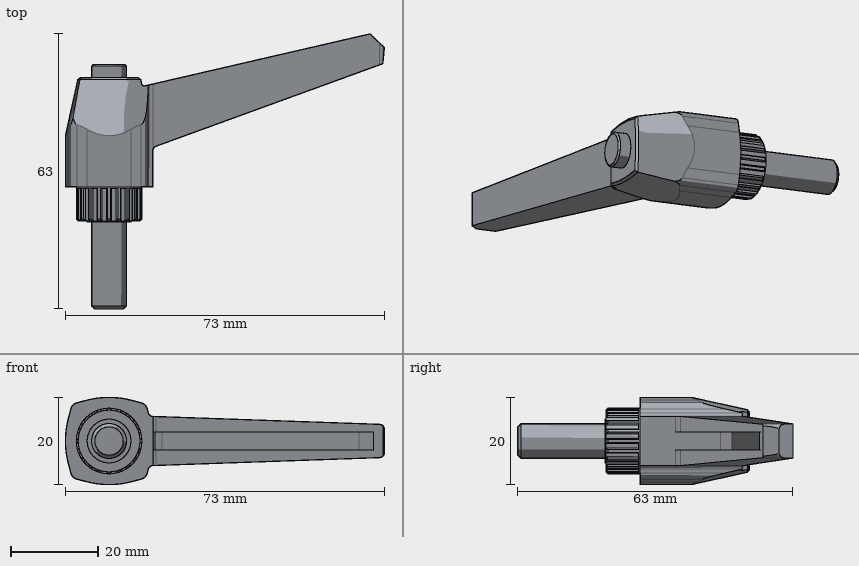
import cadquery as cq
import math


HUB_HALF_WIDTH = 10.0
HUB_HEIGHT = 25.0
HUB_SIDE_RADIUS = 20.0
HUB_ARC_HALF_LENGTH = 5.0
HUB_CORNER_RADIUS = 2.0
HUB_RIM_CHAMFER = 0.5
TAPER_START = 11.7
TAPER_ANGLE = 12.2
FACET_RADIUS = 40.0
FACET_LENGTH = 80.0
NOTCH_X = 7.6
NOTCH_FILLET = 0.6

ARM_TOP_ANGLE = 13.0
ARM_BOTTOM_ANGLE = 20.0
ARM_SIDE_ANGLE = 2.0
ARM_ROOT_HALF_THICKNESS = 5.65
ARM_ROOT_FILLET = 1.2
ARM_PEAK = (59.7, 35.0)
ARM_NOSE = (63.0, 31.8)
ARM_HEEL = (62.65, 28.15)
TIP_CORNER_RADIUS = 1.2

SLOT_WIDTH = 4.2
SLOT_END_X = 60.5
SLOT_FILLET = 2.75
SLOT_ROOF = 3.0

INSERT_CORE_RADIUS = 7.05
INSERT_FLANGE_THICKNESS = 0.4
INSERT_LENGTH = 7.8
RIDGE_COUNT = 20
RIDGE_RADIUS = 7.5
RIDGE_TIP_WIDTH = 0.65
RIDGE_BASE_WIDTH = 1.15

COLLAR_RADIUS = 5.0
STUD_RADIUS = 4.0
STUD_LENGTH = 20.0
STUD_CHAMFER = 0.75
COLLAR_BOTTOM = -8.0
PIN_TOP = 28.0
PIN_CHAMFER = 0.4

POSITION_TOLERANCE = 1e-6

side_angle = math.asin(HUB_ARC_HALF_LENGTH / HUB_SIDE_RADIUS)
arc_end_offset = HUB_HALF_WIDTH - HUB_SIDE_RADIUS * (1 - math.cos(side_angle))
side_slope = math.tan(side_angle)
sharp_corner = (arc_end_offset + side_slope * HUB_ARC_HALF_LENGTH) / (1 + side_slope)


def rise(run, angle):
    """Height gained over a run along a line at the given angle in degrees."""
    return run * math.tan(math.radians(angle))


def arm_top(x):
    """Height of the arm's upper edge."""
    return ARM_PEAK[1] - rise(ARM_PEAK[0] - x, ARM_TOP_ANGLE)


def arm_bottom(x):
    """Height of the arm's lower edge."""
    return ARM_HEEL[1] - rise(ARM_HEEL[0] - x, ARM_BOTTOM_ANGLE)


def cylinder_y(radius, y_low, y_high):
    """Round bar on the Y axis."""
    return cq.Workplane("XZ", origin=(0, y_low, 0)).circle(radius).extrude(y_low - y_high)


def facet_envelope(turn):
    """Large tilted cylinder whose surface is one upper facet of the hub.

    At turn = 0 it bounds the -X side; turn swings it around the Y axis."""
    bar = cylinder_y(FACET_RADIUS, -FACET_LENGTH / 2, FACET_LENGTH / 2)
    bar = bar.translate((FACET_RADIUS, 0, 0))
    bar = bar.rotate((0, 0, 0), (0, 0, 1), -TAPER_ANGLE)
    bar = bar.translate((-HUB_HALF_WIDTH, TAPER_START, 0))
    return bar.rotate((0, 0, 0), (0, 1, 0), turn)


def hub_prism():
    """Straight hub with arced sides and rounded corners."""

    def turned(point, quarter):
        u, v = point
        for _ in range(quarter):
            u, v = -v, u
        return (u, v)

    outline = cq.Workplane("XZ").moveTo(sharp_corner, -sharp_corner)
    for quarter in range(4):
        arc_start = turned((arc_end_offset, -HUB_ARC_HALF_LENGTH), quarter)
        arc_middle = turned((HUB_HALF_WIDTH, 0), quarter)
        arc_end = turned((arc_end_offset, HUB_ARC_HALF_LENGTH), quarter)
        outline = outline.lineTo(*arc_start).threePointArc(arc_middle, arc_end)
        outline = outline.lineTo(*turned((sharp_corner, sharp_corner), quarter))
    prism = outline.close().extrude(-HUB_HEIGHT)
    corner_edges = [
        edge
        for edge in prism.edges("|Y").vals()
        if math.isclose(abs(edge.Center().x), abs(edge.Center().z), abs_tol=POSITION_TOLERANCE)
    ]
    return prism.newObject(corner_edges).fillet(HUB_CORNER_RADIUS)


def boss_prism():
    """Web between hub and arm, blending into the hub side with a concave arc."""
    normal_x = math.cos(side_angle)
    normal_z = math.sin(side_angle)
    half = ARM_ROOT_HALF_THICKNESS
    gap = normal_x * (HUB_HALF_WIDTH - arc_end_offset) + normal_z * (half - HUB_ARC_HALF_LENGTH)
    blend = gap / (1 - normal_z)
    centre_z = half + blend

    def on_arc(angle):
        return (HUB_HALF_WIDTH - blend * math.cos(angle), centre_z - blend * math.sin(angle))

    start = on_arc(side_angle)
    middle = on_arc((side_angle + math.pi / 2) / 2)
    return (
        cq.Workplane("XZ")
        .lineTo(*start)
        .threePointArc(middle, (HUB_HALF_WIDTH, half))
        .lineTo(HUB_HALF_WIDTH, -half)
        .threePointArc((middle[0], -middle[1]), (start[0], -start[1]))
        .close()
        .extrude(-HUB_HEIGHT)
    )


def make_hub():
    """Hub and boss with three upper facets, and a flat +X notch above the arm root."""
    hub = hub_prism().union(boss_prism())
    for turn in (0, 90, 270):
        hub = hub.intersect(facet_envelope(turn))
    hub = hub.cut(
        cq.Workplane("XY")
        .moveTo(NOTCH_X, arm_top(NOTCH_X))
        .lineTo(HUB_HALF_WIDTH, arm_top(HUB_HALF_WIDTH))
        .lineTo(HUB_HALF_WIDTH, HUB_HEIGHT)
        .lineTo(NOTCH_X - rise(HUB_HEIGHT - arm_top(NOTCH_X), TAPER_ANGLE), HUB_HEIGHT)
        .close()
        .extrude(HUB_HALF_WIDTH, both=True)
    )
    hub = hub.faces(">Y").edges().chamfer(HUB_RIM_CHAMFER)
    notch = cq.selectors.NearestToPointSelector((NOTCH_X, arm_top(NOTCH_X), 0))
    return hub.edges(notch).fillet(NOTCH_FILLET)


def make_arm():
    """Arm side profile trimmed by its tapered plan."""
    root_x = HUB_HALF_WIDTH
    profile = (
        cq.Workplane("XY")
        .moveTo(root_x, arm_top(root_x))
        .lineTo(*ARM_PEAK)
        .lineTo(*ARM_NOSE)
        .lineTo(*ARM_HEEL)
        .lineTo(root_x, arm_bottom(root_x))
        .close()
        .extrude(HUB_HALF_WIDTH, both=True)
    )
    length = ARM_NOSE[0] - root_x
    tip_half = ARM_ROOT_HALF_THICKNESS - rise(length, ARM_SIDE_ANGLE)
    taper = (
        cq.Workplane("XZ")
        .moveTo(root_x, -ARM_ROOT_HALF_THICKNESS)
        .lineTo(ARM_NOSE[0], -tip_half)
        .lineTo(ARM_NOSE[0], tip_half)
        .lineTo(root_x, ARM_ROOT_HALF_THICKNESS)
        .close()
        .extrude(-ARM_PEAK[1])
        .edges("|Y and >X")
        .fillet(TIP_CORNER_RADIUS)
    )
    return profile.intersect(taper)


def join_arm(hub, arm):
    """Unite hub and arm, with a fillet under the arm root."""
    root_edge = cq.selectors.NearestToPointSelector((HUB_HALF_WIDTH, arm_bottom(HUB_HALF_WIDTH), 0))
    return hub.union(arm).edges(root_edge).fillet(ARM_ROOT_FILLET)


def slot_cutter():
    """Slot open to the underside, with a roof parallel to the arm's upper edge."""
    return (
        cq.Workplane("XY")
        .moveTo(HUB_HALF_WIDTH, 0)
        .lineTo(HUB_HALF_WIDTH, arm_top(HUB_HALF_WIDTH) - SLOT_ROOF)
        .lineTo(SLOT_END_X, arm_top(SLOT_END_X) - SLOT_ROOF)
        .lineTo(SLOT_END_X, 0)
        .close()
        .extrude(SLOT_WIDTH / 2, both=True)
        .edges("|Z")
        .edges("not <Y")
        .fillet(SLOT_FILLET)
    )


def make_insert():
    """Insert with a thin flange and straight ridges, bevelled down to the core at their lower ends."""
    ridge_root = INSERT_CORE_RADIUS * math.cos(math.asin(RIDGE_BASE_WIDTH / 2 / INSERT_CORE_RADIUS))
    ridge = (
        cq.Workplane("XZ", origin=(0, -INSERT_LENGTH, 0))
        .moveTo(-RIDGE_BASE_WIDTH / 2, 0)
        .lineTo(RIDGE_BASE_WIDTH / 2, 0)
        .lineTo(RIDGE_BASE_WIDTH / 2, ridge_root)
        .lineTo(RIDGE_TIP_WIDTH / 2, RIDGE_RADIUS)
        .lineTo(-RIDGE_TIP_WIDTH / 2, RIDGE_RADIUS)
        .lineTo(-RIDGE_BASE_WIDTH / 2, ridge_root)
        .close()
        .extrude(INSERT_FLANGE_THICKNESS - INSERT_LENGTH)
    )
    insert = cylinder_y(INSERT_CORE_RADIUS, -INSERT_LENGTH, 0)
    for index in range(RIDGE_COUNT):
        insert = insert.union(ridge.rotate((0, 0, 0), (0, 1, 0), index * 360 / RIDGE_COUNT))
    bevelled_bar = cylinder_y(RIDGE_RADIUS, -INSERT_LENGTH, 0)
    bevelled_bar = bevelled_bar.faces("<Y").edges().chamfer(RIDGE_RADIUS - INSERT_CORE_RADIUS)
    flange = cylinder_y(RIDGE_RADIUS, -INSERT_FLANGE_THICKNESS, 0)
    return insert.intersect(bevelled_bar).union(flange)


def make_stud():
    """Stud, collar and pin on the common axis."""
    stud_end = COLLAR_BOTTOM - STUD_LENGTH
    bar = cylinder_y(STUD_RADIUS, stud_end, PIN_TOP)
    bar = bar.faces("<Y").edges().chamfer(STUD_CHAMFER)
    bar = bar.faces(">Y").edges().chamfer(PIN_CHAMFER)
    return bar.union(cylinder_y(COLLAR_RADIUS, COLLAR_BOTTOM, 0))


result = join_arm(make_hub(), make_arm())
result = result.cut(slot_cutter()).union(make_insert()).union(make_stud())